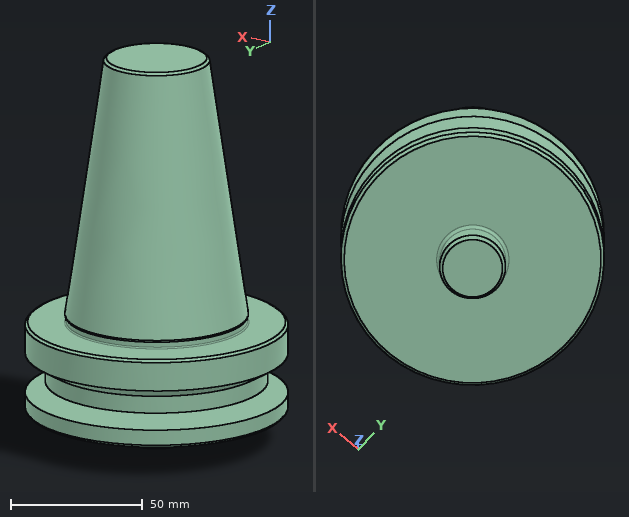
import cadquery as cq
import math

gauge_radius = 69.85 / 2
taper_top = 101.8
taper_ratio = 7 / 24
taper_top_radius = gauge_radius - taper_top * taper_ratio / 2
taper_top_chamfer = 1.0
taper_bottom = 0.2
taper_bottom_radius = gauge_radius - taper_bottom * taper_ratio / 2

neck_bevel_height = 0.8
neck_bevel_width = 0.4
neck_bevel_bottom = taper_bottom - neck_bevel_height
neck_radius = taper_bottom_radius - neck_bevel_width
neck_root_fillet = 0.5

flange_radius = 50.0
flange_top = -3.0
flange_bottom = -38.0
flange_top_chamfer = 1.0
flange_bottom_chamfer = 1.25
groove_center = -23.0
groove_floor_width = 6.7
groove_floor_radius = 42.35
groove_wall_angle = 30.0
groove_depth = flange_radius - groove_floor_radius
groove_mouth_width = groove_floor_width + 2 * groove_depth * math.tan(math.radians(groove_wall_angle))

pin_radius = 12.5
pin_length = 12.0
pin_bottom = flange_bottom - pin_length
pin_root_fillet = 1.25
pin_chamfer_height = 2.0
pin_chamfer_angle = 30.0
pin_chamfer_width = pin_chamfer_height * math.tan(math.radians(pin_chamfer_angle))


def revolve_about_z(profile):
    """Turn a closed half profile in the XZ plane into a full solid."""
    return profile.revolve(360, (0, 0, 0), (0, 1, 0))


def taper_and_neck():
    """Chamfered taper over a slightly smaller neck with a rounded root."""
    profile = (
        cq.Workplane("XZ")
        .moveTo(0, taper_top)
        .lineTo(taper_top_radius, taper_top)
        .lineTo(taper_bottom_radius, taper_bottom)
        .lineTo(neck_radius, neck_bevel_bottom)
        .lineTo(neck_radius, flange_top + neck_root_fillet)
        .radiusArc((neck_radius + neck_root_fillet, flange_top), -neck_root_fillet)
        .lineTo(0, flange_top)
        .close()
    )
    return revolve_about_z(profile).faces(">Z").edges().chamfer(taper_top_chamfer)


def flange():
    """Disc with chamfered rims and the groove around it."""
    disc = (
        cq.Workplane("XY")
        .workplane(offset=flange_bottom)
        .circle(flange_radius)
        .extrude(flange_top - flange_bottom)
    )
    disc = disc.faces(">Z").edges().chamfer(flange_top_chamfer)
    disc = disc.faces("<Z").edges().chamfer(flange_bottom_chamfer)
    groove_profile = (
        cq.Workplane("XZ")
        .moveTo(flange_radius, groove_center + groove_mouth_width / 2)
        .lineTo(groove_floor_radius, groove_center + groove_floor_width / 2)
        .lineTo(groove_floor_radius, groove_center - groove_floor_width / 2)
        .lineTo(flange_radius, groove_center - groove_mouth_width / 2)
        .close()
    )
    return disc.cut(revolve_about_z(groove_profile))


def pin():
    """Pin with a rounded root at the flange and a chamfered end."""
    profile = (
        cq.Workplane("XZ")
        .moveTo(0, flange_bottom)
        .lineTo(pin_radius + pin_root_fillet, flange_bottom)
        .radiusArc((pin_radius, flange_bottom - pin_root_fillet), -pin_root_fillet)
        .lineTo(pin_radius, pin_bottom + pin_chamfer_height)
        .lineTo(pin_radius - pin_chamfer_width, pin_bottom)
        .lineTo(0, pin_bottom)
        .close()
    )
    return revolve_about_z(profile)


result = taper_and_neck().union(flange()).union(pin())